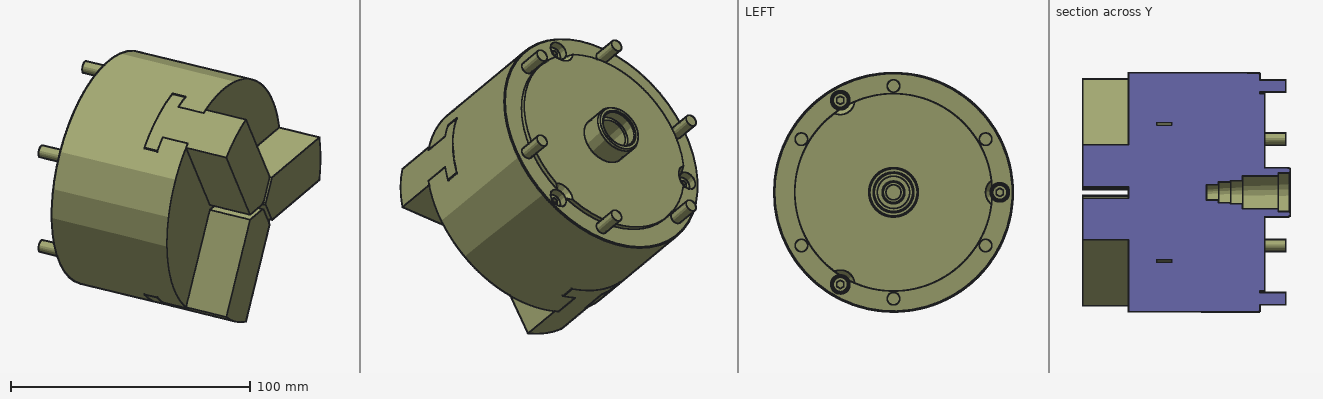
import cadquery as cq
import math


body_diameter = 100
body_length = 55
body_chamfer = 0.4
joint_overlap = 0.5
pilot_diameter = 82.5
pilot_height = 2
boss_diameter = 20.7
boss_tip_x = -12.7
boss_chamfer_length = 1
boss_chamfer_width = 0.5

bore_diameter = 16
bore_depth = 5
bore_chamfer = 0.5
inner_bore_diameter = 13.5
inner_bore_depth = 20
recess_diameter = 9.5
recess_depth = 25
stepped_hole_diameter = 8.5
stepped_hole_depth = 30
end_hole_diameter = 6.3
end_hole_depth = 35

bolt_circle_radius = 44.4
pin_diameter = 5.2
pin_length = 10.8
pin_angles = [30, 90, 150, 210, 270, 330]
screw_angles = [60, 180, 300]
counterbore_diameter = 8
head_diameter = 7
head_height = 4
head_recess = 2.8
head_chamfer = 0.5
socket_width = 3
socket_depth = 2

jaw_angles = [0, 120, 240]
jaw_width = 20
jaw_height = 19.1
jaw_gap = 2.3
jaw_tip_width = 1
jaw_setback = 0.05
slot_neck_width = 16
slot_head_width = 29
slot_head_height = 6.2
slot_depth = 18.1
head_side_clearance = 0.4

body_radius = body_diameter / 2
jaw_radius = body_radius - jaw_setback
slot_floor_x = body_length - slot_depth
tip_slope = math.tan(math.radians(60))


def cylinder(diameter, x_start, x_end):
    """Cylinder on the X axis."""
    return cq.Workplane("YZ").workplane(offset=x_start).circle(diameter / 2).extrude(x_end - x_start)


def cone(start_diameter, end_diameter, x_start, x_end):
    """Truncated cone on the X axis."""
    profile = [
        (x_start, 0),
        (x_start, start_diameter / 2),
        (x_end, end_diameter / 2),
        (x_end, 0),
    ]
    return cq.Workplane("XY").polyline(profile).close().revolve(360, (0, 0, 0), (1, 0, 0))


def turn(shape, angle):
    """Rotate a shape about the X axis."""
    return shape.rotate((0, 0, 0), (1, 0, 0), angle)


def on_bolt_circle(shape, angle):
    """Move a shape from the X axis to the bolt circle, keeping its own orientation."""
    y = bolt_circle_radius * math.cos(math.radians(angle))
    z = bolt_circle_radius * math.sin(math.radians(angle))
    return shape.translate((0, y, z))


def radial_bar(width, x_start, x_end, outer_radius):
    """Bar along +Y with parallel sides, a blunt 120 degree tip at the axis and a round outer end."""
    apex_y = jaw_gap / 2 / math.sin(math.radians(60))
    half_width = width / 2
    half_tip = jaw_tip_width / 2
    tip_y = apex_y + half_tip / tip_slope
    shoulder_y = apex_y + half_width / tip_slope
    end_y = math.sqrt(outer_radius**2 - half_width**2)
    return (
        cq.Workplane("YZ")
        .workplane(offset=x_start)
        .moveTo(tip_y, -half_tip)
        .lineTo(shoulder_y, -half_width)
        .lineTo(end_y, -half_width)
        .threePointArc((outer_radius, 0), (end_y, half_width))
        .lineTo(shoulder_y, half_width)
        .lineTo(tip_y, half_tip)
        .close()
        .extrude(x_end - x_start)
    )


def tee(head_width, outer_radius):
    """T-shaped guide along +Y, from the slot floor up to the front face of the body."""
    neck = radial_bar(slot_neck_width, slot_floor_x, body_length, outer_radius)
    head = radial_bar(head_width, slot_floor_x, slot_floor_x + slot_head_height, outer_radius)
    return neck.union(head)


def boss_bore():
    """Bore with a chamfered mouth that narrows in steps."""
    steps = [
        (bore_diameter, bore_depth),
        (inner_bore_diameter, inner_bore_depth),
        (recess_diameter, recess_depth),
        (stepped_hole_diameter, stepped_hole_depth),
        (end_hole_diameter, end_hole_depth),
    ]
    bore = cone(bore_diameter + 2 * bore_chamfer, bore_diameter, boss_tip_x, boss_tip_x + bore_chamfer)
    for diameter, depth in steps:
        bore = bore.union(cylinder(diameter, boss_tip_x, boss_tip_x + depth))
    return bore


def screw_pocket():
    """Counterbore in the body that widens at 45 degrees through the pilot disc."""
    pocket = cylinder(counterbore_diameter, -pilot_height, head_recess + head_height)
    pocket_mouth = cone(counterbore_diameter + 2 * pilot_height, counterbore_diameter, -pilot_height, 0)
    return pocket.union(pocket_mouth)


def screw_head():
    """Chamfered cap screw head with a hexagon socket whose corners point along Z."""
    head = cylinder(head_diameter, head_recess, head_recess + head_height)
    head = head.faces("<X").chamfer(head_chamfer)
    socket = (
        cq.Workplane("YZ")
        .workplane(offset=head_recess)
        .polygon(6, socket_width, circumscribed=True)
        .extrude(socket_depth)
    )
    return head.cut(socket)


body = cylinder(body_diameter, 0, body_length).faces("<X").chamfer(body_chamfer)
body = body.union(cylinder(pilot_diameter, -pilot_height, joint_overlap))
boss_shoulder_x = boss_tip_x + boss_chamfer_length
boss_tip_diameter = boss_diameter - 2 * boss_chamfer_width
body = body.union(cylinder(boss_diameter, boss_shoulder_x, 0))
body = body.union(cone(boss_tip_diameter, boss_diameter, boss_tip_x, boss_shoulder_x))
body = body.cut(boss_bore())

for angle in screw_angles:
    body = body.cut(on_bolt_circle(screw_pocket(), angle))
    body = body.union(on_bolt_circle(screw_head(), angle))

for angle in pin_angles:
    body = body.union(on_bolt_circle(cylinder(pin_diameter, -pin_length, joint_overlap), angle))

slot = tee(slot_head_width, body_radius + jaw_setback)
jaw_foot = tee(slot_head_width - 2 * head_side_clearance, jaw_radius)
jaw = jaw_foot.union(radial_bar(jaw_width, body_length, body_length + jaw_height, jaw_radius))
for angle in jaw_angles:
    body = body.cut(turn(slot, angle))
    body = body.union(turn(jaw, angle))

result = body